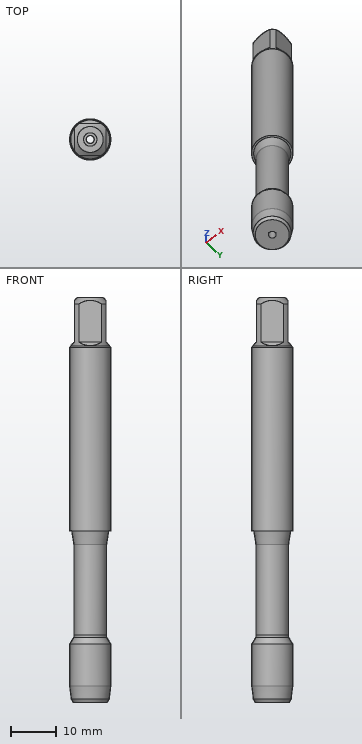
import cadquery as cq

total_length = 90.0
body_diameter = 9.2
neck_diameter = 7.3

tip_diameter = 7.6
lead_diameter = 8.5
tip_chamfer_height = 0.8
lead_top = 3.7
head_shoulder_bottom = 13.0
head_shoulder_top = 14.5
joint_height = 15.0
head_bore_diameter = 1.7

neck_taper_bottom = 35.1
neck_taper_top_diameter = 8.3
shank_bottom = 38.2
shank_bore_diameter = 3.0

square_width = 7.0
square_corner_diameter = 8.6
square_bottom = 80.1
flare_height = 1.8
shoulder_bottom = 78.9
drive_chamfer = 1.4


def turned_body(outline, bore_diameter):
    """Revolve (diameter, height) outline points, listed upwards, around a through bore."""
    bore_radius = bore_diameter / 2
    points = [(bore_radius, outline[0][1])]
    points += [(diameter / 2, height) for diameter, height in outline]
    points.append((bore_radius, outline[-1][1]))
    return cq.Workplane("XZ").polyline(points).close().revolve(360, (0, 0, 0), (0, 1, 0))


def make_head():
    return turned_body(
        [
            (tip_diameter, 0),
            (lead_diameter, tip_chamfer_height),
            (body_diameter, lead_top),
            (body_diameter, head_shoulder_bottom),
            (neck_diameter, head_shoulder_top),
            (neck_diameter, joint_height),
        ],
        head_bore_diameter,
    )


def make_square_envelope():
    """Solid bounding the shank: a square at the top, flaring outward at 45 degrees below its foot."""
    square = (
        cq.Workplane("XY", origin=(0, 0, square_bottom))
        .rect(square_width, square_width)
        .extrude(total_length - square_bottom)
    )
    flare_width = square_width + 2 * flare_height
    flare = (
        cq.Workplane("XY", origin=(0, 0, square_bottom - flare_height))
        .rect(flare_width, flare_width)
        .workplane(offset=flare_height)
        .rect(square_width, square_width)
        .loft(ruled=True)
    )
    lower_block = (
        cq.Workplane("XY")
        .rect(flare_width, flare_width)
        .extrude(square_bottom - flare_height)
    )
    return lower_block.union(flare).union(square)


def make_shank():
    shoulder_rise = (body_diameter - square_corner_diameter) / 2
    turned = turned_body(
        [
            (neck_diameter, joint_height),
            (neck_diameter, neck_taper_bottom),
            (neck_taper_top_diameter, shank_bottom),
            (body_diameter, shank_bottom),
            (body_diameter, shoulder_bottom),
            (square_corner_diameter, shoulder_bottom + shoulder_rise),
            (square_corner_diameter, total_length - drive_chamfer),
            (square_corner_diameter - 2 * drive_chamfer, total_length),
        ],
        shank_bore_diameter,
    )
    return turned.intersect(make_square_envelope())


head = make_head()
shank = make_shank()

result = cq.Compound.makeCompound([head.val(), shank.val()])